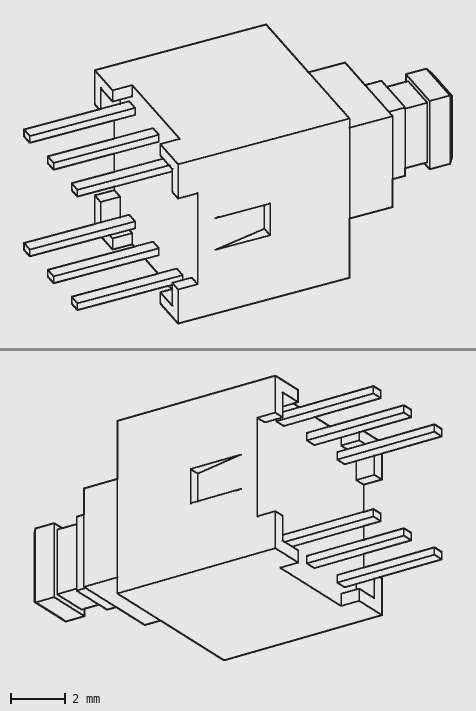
import cadquery as cq

total_length = 16
body_size = 7.0
pin_reach = 3.5
neck_length = 2.5
neck_size = 4
stem_width = 2.0
stem_height = 3.0
groove_depth = 0.2
head_chamfer = 0.16
foot_height = 0.8
foot_wall = 0.5
pin_width = 0.5
pin_thickness = 0.3
pin_pitch = 2.0
pin_row_spacing = 5.0
latch_length = 2.24
latch_height = 1.4
latch_depth = 0.48
latch_offset = 1.52

base_y = foot_height
shoulder_y = body_size
neck_end_y = shoulder_y + neck_length
stem_end_y = total_length - pin_reach
stem_step = (stem_end_y - neck_end_y) / 3


def block(width, height, y_start, y_end):
    """Box centred on the Y axis between two stations."""
    return cq.Workplane("XY").box(width, y_end - y_start, height).translate((0, (y_start + y_end) / 2, 0))


def make_body():
    """Cube with a cross-shaped recess that leaves four L-shaped corner feet."""
    inner_size = body_size - 2 * foot_wall
    body = block(body_size, body_size, 0, shoulder_y)
    body = body.cut(block(inner_size, inner_size, 0, base_y))
    body = body.cut(block(body_size, neck_size, 0, base_y))
    return body.cut(block(neck_size, body_size, 0, base_y))


def make_latch_pocket():
    """Wedge in the -X wall, deepest at its +Y end."""
    wall_x = -body_size / 2
    deep_y = latch_offset + latch_length
    return (
        cq.Workplane("XY")
        .polyline([(wall_x, latch_offset), (wall_x, deep_y), (wall_x + latch_depth, deep_y)])
        .close()
        .extrude(latch_height / 2, both=True)
    )


def make_stem():
    """Collar, groove and chamfered head of the push button."""
    groove_start = neck_end_y + stem_step
    groove_end = groove_start + stem_step
    collar = block(stem_width, stem_height, neck_end_y, groove_start)
    groove = block(stem_width - 2 * groove_depth, stem_height - 2 * groove_depth, groove_start, groove_end)
    head = block(stem_width, stem_height, groove_end, stem_end_y).faces(">Y").edges().chamfer(head_chamfer)
    return collar.union(groove).union(head)


def make_pins():
    """Two rows of three flat pins standing on the recessed base."""
    pin = block(pin_width, pin_thickness, -pin_reach, base_y)
    pins = cq.Workplane("XY")
    for column in (-1, 0, 1):
        for row in (-1, 1):
            pins = pins.add(pin.translate((column * pin_pitch, 0, row * pin_row_spacing / 2)))
    return pins


latch_pocket = make_latch_pocket()
result = make_body().cut(latch_pocket).cut(latch_pocket.mirror("YZ"))
result = result.union(block(neck_size, neck_size, shoulder_y, neck_end_y))
result = result.union(make_stem())
result = result.union(make_pins())